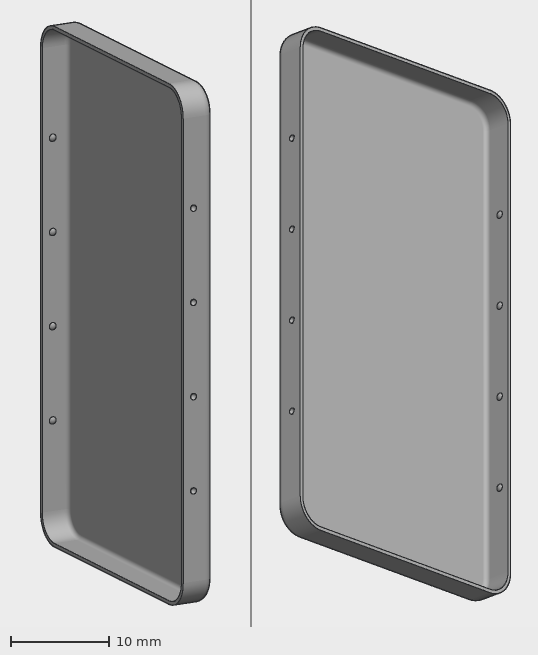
import cadquery as cq

height = 55.2
width = 30.2
depth = 3.5

wall = 0.4
corner_radius = 3.0
outer_edge_radius = 0.9
inner_edge_radius = outer_edge_radius - wall

dimple_count = 4
dimple_pitch = 10.0
dimple_from_rim = 1.2
dimple_radius = 0.35
bump_radius = 0.55
bump_height = 0.15


def rounded_block(offset, edge_radius):
    """Block inset by offset from the tray outside, rounded along its +Y edge."""
    block = (
        cq.Workplane("XY")
        .box(width - 2 * offset, depth - offset, height - 2 * offset, centered=(True, False, True))
        .edges("|Y")
        .fillet(corner_radius - offset)
    )
    return block.faces(">Y").edges().fillet(edge_radius)


def ball(x, z, radius):
    """Ball at dimple depth, its poles along X so they point through the side wall."""
    upright = cq.Workplane("XY").sphere(radius)
    return upright.rotate((0, 0, 0), (0, 1, 0), 90).translate((x, dimple_from_rim, z))


outer_face_x = width / 2
bump_center_x = outer_face_x - wall - bump_height + bump_radius
first_dimple_z = -(dimple_count - 1) * dimple_pitch / 2

tray = rounded_block(0, outer_edge_radius)
cavity = rounded_block(wall, inner_edge_radius)

for side in (-1, 1):
    for index in range(dimple_count):
        z = first_dimple_z + index * dimple_pitch
        cavity = cavity.cut(ball(side * bump_center_x, z, bump_radius))
        tray = tray.cut(ball(side * outer_face_x, z, dimple_radius))

result = tray.cut(cavity).translate((0, -depth / 2, 0))